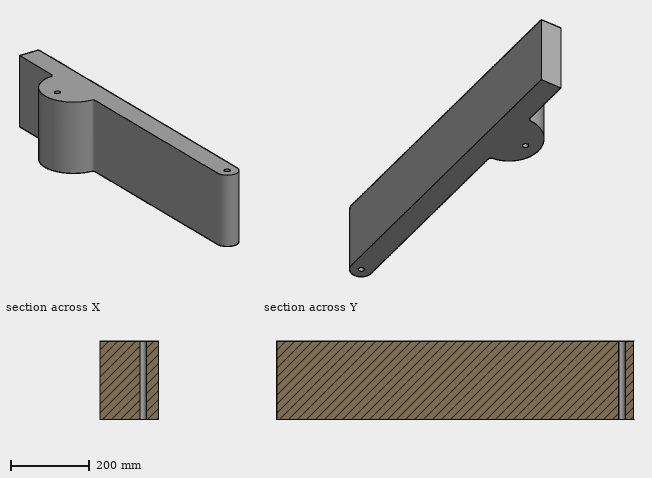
import cadquery as cq

length = 910.0
height = 200.0
bar_width = 60.0
end_radius = bar_width / 2

depth = 149.0
boss_x = 240.0
boss_radius = depth - bar_width
fillet_radius = 9.0

hole_diameter = 15.5
boss_hole_offset = 50.0

end_x = length - end_radius
bar = (
    cq.Workplane("XY")
    .moveTo(0, 0)
    .lineTo(end_x, 0)
    .threePointArc((length, end_radius), (end_x, bar_width))
    .lineTo(0, bar_width)
    .close()
    .extrude(height)
)

half_boss = (
    cq.Workplane("XY")
    .moveTo(boss_x - boss_radius, 0)
    .threePointArc((boss_x, -boss_radius), (boss_x + boss_radius, 0))
    .close()
    .extrude(height)
)

corner_points = [(boss_x + side * boss_radius, 0, height / 2) for side in (-1, 1)]
body = bar.union(half_boss)
for corner in corner_points:
    body = body.edges(cq.selectors.NearestToPointSelector(corner)).fillet(fillet_radius)

hole_centers = [(end_x, end_radius), (boss_x, -boss_hole_offset)]
holes = cq.Workplane("XY").pushPoints(hole_centers).circle(hole_diameter / 2).extrude(height)

result = body.cut(holes)